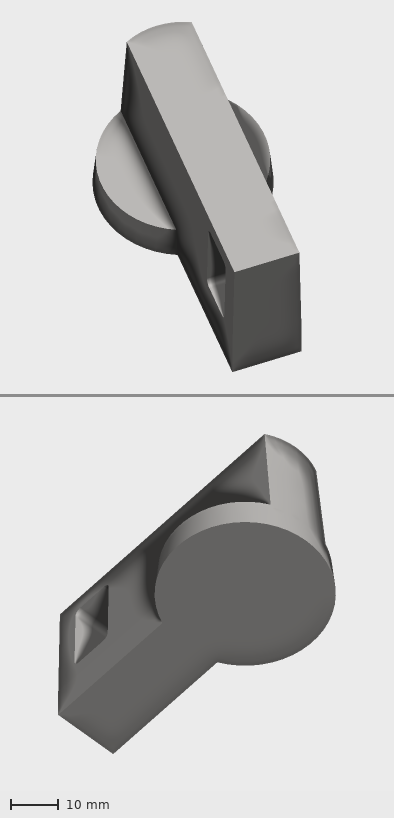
import cadquery as cq
import math

base_radius = 19.0
body_draft = 5.0
total_height = 35.0
base_height = 7.9

handle_end_x = 50.0
handle_width = 15.5
handle_draft = 1.0

window_length = 10.4
window_height = 19.0
window_corner_radius = 1.5
window_end_margin = 5.0
window_top_margin = 4.0

top_radius = base_radius - total_height * math.tan(math.radians(body_draft))
grip_height = total_height - base_height
handle_half_width = handle_width / 2
top_half_width = handle_half_width - grip_height * math.tan(math.radians(handle_draft))


def make_cone():
    """Full-height frustum, later trimmed to the handle above the base."""
    return cq.Workplane(cq.Solid.makeCone(base_radius, top_radius, total_height))


def make_base_disk():
    """The lowest, untrimmed slice of the frustum."""
    slab_side = 2 * base_radius
    slab = cq.Workplane("XY").box(slab_side, slab_side, base_height, centered=(True, True, False))
    return make_cone().intersect(slab)


def make_bar(start_x, end_x):
    """Bar with the handle cross-section: upright sides low down, drafted sides above the base."""
    section = [
        (-handle_half_width, 0),
        (handle_half_width, 0),
        (handle_half_width, base_height),
        (top_half_width, total_height),
        (-top_half_width, total_height),
        (-handle_half_width, base_height),
    ]
    return (
        cq.Workplane("YZ", origin=(start_x, 0, 0))
        .polyline(section)
        .close()
        .extrude(end_x - start_x)
    )


def make_window():
    """Cutter for the rounded window."""
    center_x = handle_end_x - window_end_margin - window_length / 2
    center_z = total_height - window_top_margin - window_height / 2
    return (
        cq.Workplane("XY")
        .box(window_length, handle_width, window_height)
        .edges("|Y")
        .fillet(window_corner_radius)
        .translate((center_x, 0, center_z))
    )


grip = make_bar(-base_radius, 0).intersect(make_cone())
handle = make_bar(0, handle_end_x)

result = make_base_disk().union(grip).union(handle).cut(make_window()).clean()